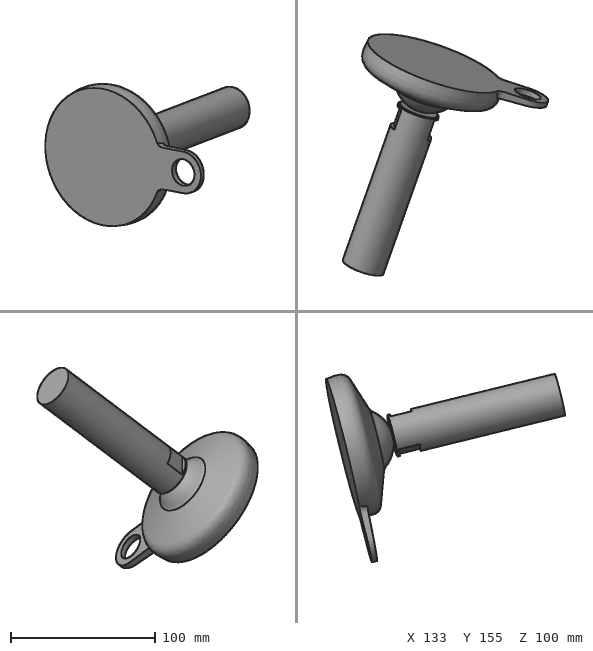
import cadquery as cq
import math


BASE_RADIUS = 50.0
BOTTOM_RADIUS = 49.2
TAPER_HEIGHT = 6.0
RIM_TOP = 9.0
SHOULDER_RADIUS = 7.5
CONE_ANGLE = math.radians(19)

BALL_RADIUS = 25.0
BALL_CENTRE_Y = 10.5
COLLAR_BOTTOM_RADIUS = 21.7
COLLAR_TOP_RADIUS = 20.0

STEM_RADIUS = 15.0
STEM_BOTTOM = 35.0
STEM_LENGTH = 120.0
STEM_CHAMFER_HEIGHT = 0.6
STEM_CHAMFER_WIDTH = 1.2
FLATS_WIDTH = 24.0
FLATS_BOTTOM = 37.0
FLATS_HEIGHT = 15.0

TAB_CENTRE_X = 68.0
TAB_RADIUS = 15.0
TAB_END_HEIGHT = 3.8
TAB_SLOPE = math.radians(3)
TAB_HOLE_DIAMETER = 19.0
NECK_RADIUS = 5.5


def along_y(profile):
    """Revolve a profile drawn as (radius, Y) about the Y axis."""
    return profile.close().revolve(360, (0, 0, 0), (0, 1, 0))


def make_base():
    """Tapered disc, rounded shoulder, cone, short steep collar and ball dome."""
    corner_y = RIM_TOP + SHOULDER_RADIUS * math.tan((math.pi / 2 - CONE_ANGLE) / 2)
    cone_top_y = corner_y + (BASE_RADIUS - COLLAR_BOTTOM_RADIUS) * math.tan(CONE_ANGLE)
    dome_angle = math.acos(COLLAR_TOP_RADIUS / BALL_RADIUS)

    def ball_point(angle):
        return (BALL_RADIUS * math.cos(angle), BALL_CENTRE_Y + BALL_RADIUS * math.sin(angle))

    base = along_y(
        cq.Workplane("XY")
        .lineTo(BOTTOM_RADIUS, 0)
        .lineTo(BASE_RADIUS, TAPER_HEIGHT)
        .lineTo(BASE_RADIUS, corner_y)
        .lineTo(COLLAR_BOTTOM_RADIUS, cone_top_y)
        .lineTo(*ball_point(dome_angle))
        .threePointArc(
            ball_point((dome_angle + math.pi / 2) / 2),
            (0, BALL_CENTRE_Y + BALL_RADIUS),
        )
    )
    margin = 0.1
    shoulder_corner = cq.selectors.BoxSelector(
        (-BASE_RADIUS, corner_y - margin, -BASE_RADIUS),
        (BASE_RADIUS, corner_y + margin, BASE_RADIUS),
    )
    return base.edges("%CIRCLE").edges(shoulder_corner).fillet(SHOULDER_RADIUS)


def make_stem():
    """Round stem, chamfered at its lower end, with a wrench flat on each X side."""
    stem_top = STEM_BOTTOM + STEM_LENGTH
    stem = along_y(
        cq.Workplane("XY")
        .moveTo(0, STEM_BOTTOM)
        .lineTo(STEM_RADIUS - STEM_CHAMFER_WIDTH, STEM_BOTTOM)
        .lineTo(STEM_RADIUS, STEM_BOTTOM + STEM_CHAMFER_HEIGHT)
        .lineTo(STEM_RADIUS, stem_top)
        .lineTo(0, stem_top)
    )
    for side in (-1, 1):
        cutter = cq.Workplane("XY").box(STEM_RADIUS, FLATS_HEIGHT, 2 * STEM_RADIUS)
        cutter_x = side * (FLATS_WIDTH + STEM_RADIUS) / 2
        stem = stem.cut(cutter.translate((cutter_x, FLATS_BOTTOM + FLATS_HEIGHT / 2, 0)))
    return stem


def make_tab():
    """Sloped tab with a round end, a hole and concave necks into the disc."""
    neck_z = TAB_RADIUS + NECK_RADIUS
    neck_distance = BOTTOM_RADIUS + NECK_RADIUS
    neck_x = math.sqrt(neck_distance**2 - neck_z**2)
    to_disc = BOTTOM_RADIUS / neck_distance
    disc_x = neck_x * to_disc
    disc_z = neck_z * to_disc

    disc_direction = math.atan2(-neck_z, -neck_x)
    middle_direction = (disc_direction - math.pi / 2) / 2
    middle_x = neck_x + NECK_RADIUS * math.cos(middle_direction)
    middle_z = neck_z + NECK_RADIUS * math.sin(middle_direction)

    tab_end = TAB_CENTRE_X + TAB_RADIUS
    height_at_axis = TAB_END_HEIGHT + tab_end * math.tan(TAB_SLOPE)
    outline = (
        cq.Workplane("XZ")
        .lineTo(disc_x, disc_z)
        .threePointArc((middle_x, middle_z), (neck_x, TAB_RADIUS))
        .lineTo(TAB_CENTRE_X, TAB_RADIUS)
        .threePointArc((tab_end, 0), (TAB_CENTRE_X, -TAB_RADIUS))
        .lineTo(neck_x, -TAB_RADIUS)
        .threePointArc((middle_x, -middle_z), (disc_x, -disc_z))
        .close()
        .extrude(-height_at_axis)
    )
    wedge = (
        cq.Workplane("XY")
        .polyline([(0, 0), (tab_end, 0), (tab_end, TAB_END_HEIGHT), (0, height_at_axis)])
        .close()
        .extrude(BASE_RADIUS, both=True)
    )
    hole = (
        cq.Workplane("XZ")
        .center(TAB_CENTRE_X, 0)
        .circle(TAB_HOLE_DIAMETER / 2)
        .extrude(-height_at_axis)
    )
    return outline.intersect(wedge).cut(hole)


result = make_base().union(make_tab()).union(make_stem())